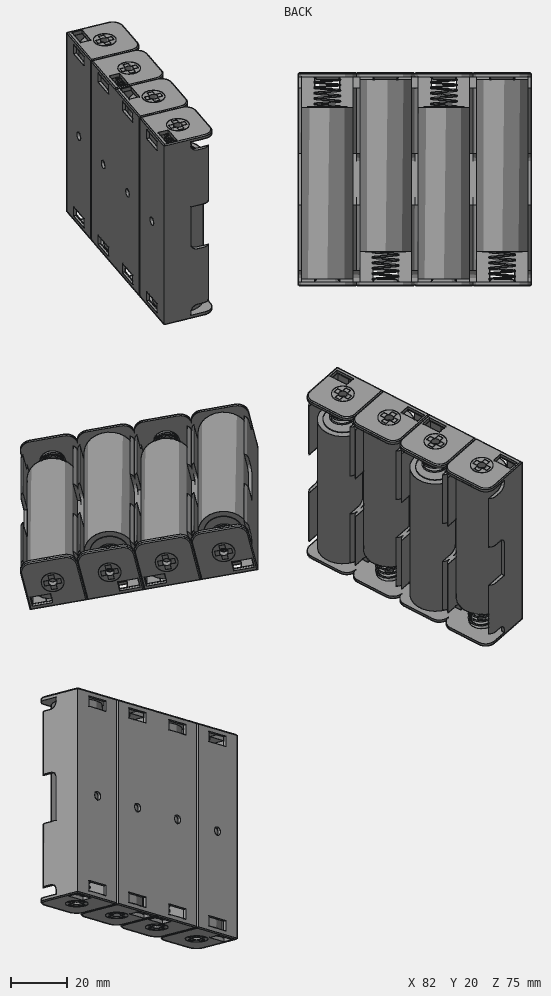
import cadquery as cq


cell_count = 4
cell_pitch = 20.5
holder_length = 75.0
cell_offsets = [(index - (cell_count - 1) / 2) * cell_pitch for index in range(cell_count)]

floor_thickness = 1.15
channel_width = 18.0
wall_height = 18.45
wall_round = 3.0

plate_height = 20.0
plate_thickness = 1.5
plate_round = 4.0
plate_chamfer = 0.4

battery_diameter = 18.0
battery_axis_y = 10.1
battery_length = 60.35
battery_end_gap = 2.5
terminal_diameter = 14.0
terminal_height = 0.25

notch_floor_y = 10.4
notch_round = 2.6
middle_notch_length = 18.0
end_notch_reach = 5.4

back_window_width = 8.7
back_window_height = 3.8
back_window_margin = 1.9
plate_window_width = 7.3
plate_window_height = 3.9
plate_window_y = 1.55
plate_window_margin = 1.15
screw_hole_diameter = 3.0

groove_width = 1.0

rivet_diameter = 8.0
rivet_recess = 0.1
cross_length = 6.15
cross_width = 2.05
cross_recess = 0.2
rivet_hole_diameter = 3.0
dome_base_radius = 4.6
dome_tip_radius = 3.8

coil_diameter = 9.0
spring_turns = 5.5
wire_diameter = 0.5

half_length = holder_length / 2
plate_inner_z = half_length - plate_thickness
battery_top_z = half_length - battery_end_gap
battery_bottom_z = battery_top_z - battery_length


def box(x_range, y_range, z_range):
    """Box between two limits along each axis."""
    sizes = [high - low for low, high in (x_range, y_range, z_range)]
    corner = (x_range[0], y_range[0], z_range[0])
    return cq.Workplane("XY").box(*sizes, centered=False).translate(corner)


def housing_cell():
    """One trough with rounded wall tops, centred on X = 0."""
    block = (
        box((-cell_pitch / 2, cell_pitch / 2), (0, wall_height), (-plate_inner_z, plate_inner_z))
        .edges("|Z and >Y")
        .fillet(wall_round)
    )
    half_channel = channel_width / 2
    channel = box((-half_channel, half_channel), (floor_thickness, plate_height), (-half_length, half_length))
    return block.cut(channel)


def wall_notches():
    """Cutter for the middle and end notches through both walls of a trough."""
    x_range = (-cell_pitch / 2, cell_pitch / 2)
    y_range = (notch_floor_y, plate_height)
    half_middle = middle_notch_length / 2
    middle = box(x_range, y_range, (-half_middle, half_middle)).edges("|X and <Y and >Z").fillet(notch_round)
    end = (
        box(x_range, y_range, (half_length - end_notch_reach, plate_inner_z))
        .edges("|X and <Y and <Z")
        .fillet(notch_round)
    )
    return middle.union(end).union(end.mirror("XY"))


def end_plate():
    """Upper end plate with rounded top corners and a chamfered rim."""
    half_width = cell_pitch / 2
    plate = (
        box((-half_width, half_width), (0, plate_height), (plate_inner_z, half_length))
        .edges("|Z and >Y")
        .fillet(plate_round)
    )
    return plate.faces(">Z").edges().chamfer(plate_chamfer)


def end_plate_windows():
    """Cutter for the windows near the back -X corner of both end plates."""
    outer_x = plate_window_margin - cell_pitch / 2
    window = box(
        (outer_x, outer_x + plate_window_width),
        (plate_window_y, plate_window_y + plate_window_height),
        (plate_inner_z, half_length),
    )
    return window.union(window.mirror("XY"))


def back_openings():
    """Cutter for the two windows and the screw hole through the floor."""
    window_top = half_length - back_window_margin
    half_width = back_window_width / 2
    window_bottom = window_top - back_window_height
    window = box((-half_width, half_width), (0, floor_thickness), (window_bottom, window_top))
    hole = cq.Workplane("XZ").circle(screw_hole_diameter / 2).extrude(-floor_thickness)
    return window.union(window.mirror("XY")).union(hole)


def rivet_dome():
    """Flared rivet head under the upper end plate, tapering down to the level of the battery top."""
    return (
        cq.Workplane("XY", origin=(0, battery_axis_y, plate_inner_z))
        .circle(dome_base_radius)
        .workplane(offset=battery_top_z - plate_inner_z)
        .circle(dome_tip_radius)
        .loft()
    )


def rivet_recesses():
    """Cutter for the round recess, the cross and the hole through the rivet in the upper end plate."""
    top = cq.Workplane("XY", origin=(0, battery_axis_y, half_length))
    recess = top.circle(rivet_diameter / 2).extrude(-rivet_recess)
    cross = top.rect(cross_length, cross_width).extrude(-cross_recess)
    cross = cross.union(top.rect(cross_width, cross_length).extrude(-cross_recess))
    hole = top.circle(rivet_hole_diameter / 2).extrude(battery_top_z - half_length)
    return recess.union(cross).union(hole)


def battery():
    """Battery with a raised flat terminal at its lower end."""
    body = (
        cq.Workplane("XY", origin=(0, battery_axis_y, battery_bottom_z))
        .circle(battery_diameter / 2)
        .extrude(battery_length)
    )
    return body.faces("<Z").workplane().circle(terminal_diameter / 2).extrude(terminal_height)


def spring():
    """Coil spring between the lower end plate and the battery terminal, its ends sunk into both."""
    height = battery_bottom_z - terminal_height + plate_inner_z
    coil_radius = coil_diameter / 2
    path = cq.Wire.makeHelix(height / spring_turns, height, coil_radius)
    path = path.rotate(cq.Vector(), cq.Vector(0, 0, 1), 180)
    coil = (
        cq.Workplane("XZ", origin=(-coil_radius, 0, 0))
        .circle(wire_diameter / 2)
        .sweep(cq.Workplane(path), isFrenet=True)
    )
    return coil.translate((0, battery_axis_y, -plate_inner_z))


def empty_cell():
    """Housing, both end plates with their rivets, and the openings of one cell with the battery top up."""
    plate = end_plate().union(rivet_dome()).cut(rivet_recesses())
    shell = housing_cell().cut(wall_notches()).union(plate).union(plate.mirror("XY"))
    return shell.cut(end_plate_windows()).cut(back_openings())


def back_groove():
    """Cutter for a V groove along Z in the back."""
    half_width = groove_width / 2
    return (
        cq.Workplane("XY", origin=(0, 0, -half_length))
        .polyline([(-half_width, 0), (half_width, 0), (0, half_width)])
        .close()
        .extrude(holder_length)
    )


cell_shell = empty_cell()
cell_contents = battery().union(spring())
result = None
contents = []
for index, offset in enumerate(cell_offsets):
    turn = 180 * (index % 2)
    shell = cell_shell.rotate((0, 0, 0), (0, 1, 0), turn).translate((offset, 0, 0))
    result = shell if result is None else result.union(shell)
    contents.append(cell_contents.rotate((0, 0, 0), (0, 1, 0), turn).translate((offset, 0, 0)))
for pair_center in (-cell_pitch, cell_pitch):
    result = result.cut(back_groove().translate((pair_center, 0, 0)))
for content in contents:
    result = result.union(content)